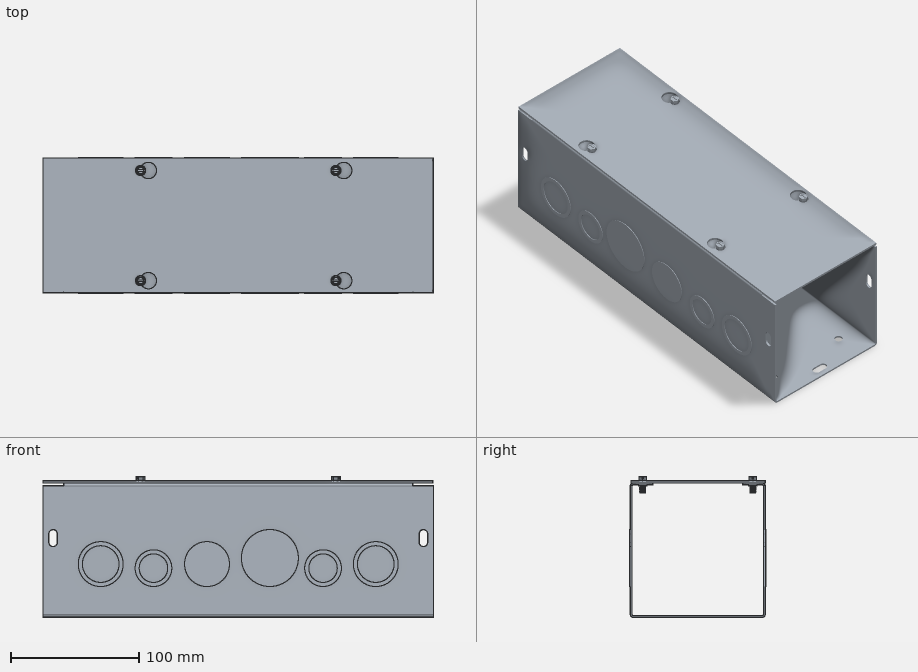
import cadquery as cq
import math

length = 304.8
overall_height = 109.7
overall_width = 106.5
knockout_raise = 0.45
sheet = 1.5
cover_thickness = 1.8
head_height = 3.0

floor_z = -overall_height / 2
screw_top_z = overall_height / 2
cover_top_z = screw_top_z - head_height
flange_top_z = cover_top_z - cover_thickness
housing_width = overall_width - 2 * knockout_raise
housing_height = flange_top_z - floor_z
wall_y = housing_width / 2

bend_radius = 2.5
flange_half_length = 136.2
flange_width = 17.7
end_wall_drop = 2.0
collar_diameter = 6.5
collar_height = 1.0

slot_width = 6.5
slot_length = 13.0
wall_slot_x = 144.5
wall_slot_z = 7.0
floor_slot_x = 145.0
floor_hole_diameter = 6.5
floor_hole_x = 128.5
floor_hole_y = 33.8

knockout_bottom_z = -30.8
large_ring_diameters = (35.0, 28.5)
large_ring_x = 107.3
small_ring_diameters = (28.5, 22.3)
small_ring_x = 66.0
plain_disc_diameter = 35.0
plain_disc_x = -24.5
big_disc_diameter = 44.5
big_disc_x = 24.7

cover_length = 304.2
cover_width = 105.0
keyhole_narrow_diameter = 8.0
keyhole_wide_diameter = 12.8
keyhole_offset = 6.0

screw_x = 76.2
screw_y = 43.0
head_across_flats = 6.0
washer_diameter = keyhole_narrow_diameter
washer_thickness = 1.0
head_recess_diameter = 5.0
head_recess_depth = 0.3
driver_slot_width = 1.2
driver_slot_depth = 1.2
thread_diameter = 4.5
thread_root_diameter = 4.0
thread_pitch = 1.0
thread_count = 5
tip_length = 1.0

screw_places = [(x, y) for x in (-screw_x, screw_x) for y in (-screw_y, screw_y)]


def box_from(x_range, y_range, z_range):
    """Box between the given (low, high) limits."""
    sizes = [high - low for low, high in (x_range, y_range, z_range)]
    corner = (x_range[0], y_range[0], z_range[0])
    return cq.Workplane("XY").box(*sizes, centered=False).translate(corner)


def rounded_bar(inset, radius):
    """Bar along X with rounded long edges, smaller than the housing outline by the inset."""
    return (
        cq.Workplane("XY")
        .box(length, housing_width - 2 * inset, housing_height - 2 * inset)
        .edges("|X").fillet(radius)
        .translate((0, 0, (floor_z + flange_top_z) / 2))
    )


def folded_sheet():
    """Floor, two side walls and two inward flanges, bent from one sheet."""
    body = rounded_bar(0, bend_radius).cut(rounded_bar(sheet, bend_radius - sheet))

    full_length = (-length / 2, length / 2)
    opening_half = wall_y - flange_width
    body = body.cut(
        box_from(full_length, (-opening_half, opening_half), (flange_top_z - sheet, flange_top_z))
    )

    cut_height = (flange_top_z - end_wall_drop, flange_top_z)
    for x_range in ((-length / 2, -flange_half_length), (flange_half_length, length / 2)):
        body = body.cut(box_from(x_range, (-wall_y, wall_y), cut_height))
    return body


def wall_slots():
    """Upright slots through both side walls, at both ends."""
    plane = cq.Plane(origin=(0, -wall_y, wall_slot_z), xDir=(1, 0, 0), normal=(0, 1, 0))
    return (
        cq.Workplane(plane)
        .pushPoints([(-wall_slot_x, 0), (wall_slot_x, 0)])
        .slot2D(slot_length, slot_width, 90)
        .extrude(housing_width)
    )


def floor_openings():
    """A crosswise slot at both ends of the floor and four round holes."""
    floor = cq.Workplane("XY", origin=(0, 0, floor_z))
    slots = (
        floor.pushPoints([(-floor_slot_x, 0), (floor_slot_x, 0)])
        .slot2D(slot_length, slot_width, 90)
        .extrude(sheet)
    )
    holes = (
        floor.rect(2 * floor_hole_x, 2 * floor_hole_y, forConstruction=True).vertices()
        .circle(floor_hole_diameter / 2)
        .extrude(sheet)
    )
    return slots.union(holes)


def screw_collars():
    """Collars under the flanges, reaching up through the sheet."""
    return (
        cq.Workplane("XY", origin=(0, 0, flange_top_z)).pushPoints(screw_places)
        .circle(collar_diameter / 2)
        .extrude(-(sheet + collar_height))
    )


def screw_holes():
    return (
        cq.Workplane("XY", origin=(0, 0, flange_top_z)).pushPoints(screw_places)
        .circle(thread_diameter / 2)
        .extrude(-(sheet + collar_height))
    )


def knockout(x, outer_diameter, inner_diameter=None):
    """Raised disc on the -Y wall, or a raised ring if an inner diameter is given."""
    centre_z = knockout_bottom_z + outer_diameter / 2
    plane = cq.Plane(origin=(x, -wall_y, centre_z), xDir=(1, 0, 0), normal=(0, -1, 0))
    outline = cq.Workplane(plane).circle(outer_diameter / 2)
    if inner_diameter:
        outline = outline.circle(inner_diameter / 2)
    return outline.extrude(knockout_raise)


def wall_knockouts():
    """The row of six knockouts on the -Y wall."""
    row = knockout(plain_disc_x, plain_disc_diameter).union(knockout(big_disc_x, big_disc_diameter))
    for side in (-1, 1):
        row = row.union(knockout(side * large_ring_x, *large_ring_diameters))
        row = row.union(knockout(side * small_ring_x, *small_ring_diameters))
    return row


def make_housing():
    body = folded_sheet().cut(wall_slots()).cut(floor_openings())
    body = body.union(screw_collars()).cut(screw_holes())
    front_row = wall_knockouts()
    return body.union(front_row).union(front_row.mirror("XZ"))


def make_cover():
    """Flat plate with a keyhole at each screw."""
    plate = box_from(
        (-length / 2, cover_length - length / 2),
        (wall_y - cover_width, wall_y),
        (flange_top_z, cover_top_z),
    )
    underside = cq.Workplane("XY", origin=(0, 0, flange_top_z))
    narrow_ends = (
        underside.pushPoints(screw_places)
        .circle(keyhole_narrow_diameter / 2)
        .extrude(cover_thickness)
    )
    wide_ends = (
        underside.pushPoints([(x + keyhole_offset, y) for x, y in screw_places])
        .circle(keyhole_wide_diameter / 2)
        .extrude(cover_thickness)
    )
    return plate.cut(narrow_ends).cut(wide_ends)


def screw_head():
    """Hexagonal head on a washer face, with a slotted recess in its top."""
    across_corners = head_across_flats / math.cos(math.pi / 6)
    seat = cq.Workplane("XY", origin=(0, 0, flange_top_z))
    head = seat.polygon(6, across_corners).extrude(screw_top_z - flange_top_z)
    washer = seat.circle(washer_diameter / 2).extrude(washer_thickness)

    top = cq.Workplane("XY", origin=(0, 0, screw_top_z))
    recess = top.circle(head_recess_diameter / 2).extrude(-head_recess_depth)
    slot = (
        top.rect(head_recess_diameter, driver_slot_width).extrude(-driver_slot_depth)
        .intersect(top.circle(head_recess_diameter / 2).extrude(-driver_slot_depth))
    )
    return head.union(washer).cut(recess).cut(slot)


def screw_shank():
    """Shank that fills the collar, with ring-shaped thread grooves below it and a plain tip."""
    crest = thread_diameter / 2
    root = thread_root_diameter / 2
    thread_top_z = flange_top_z - sheet - collar_height
    profile = [(0, flange_top_z), (crest, flange_top_z), (crest, thread_top_z)]
    for turn in range(thread_count):
        turn_top_z = thread_top_z - turn * thread_pitch
        profile.append((root, turn_top_z - thread_pitch / 2))
        profile.append((crest, turn_top_z - thread_pitch))
    tip_top_z = thread_top_z - thread_count * thread_pitch
    profile.append((root, tip_top_z - tip_length))
    profile.append((0, tip_top_z - tip_length))
    return cq.Workplane("XZ").polyline(profile).close().revolve(360, (0, 0, 0), (0, 1, 0))


def make_screw(x, y):
    return screw_head().union(screw_shank()).translate((x, y, 0))


housing = make_housing()
cover = make_cover()
screws = [make_screw(x, y).val() for x, y in screw_places]

result = cq.Compound.makeCompound([housing.val(), cover.val(), *screws])